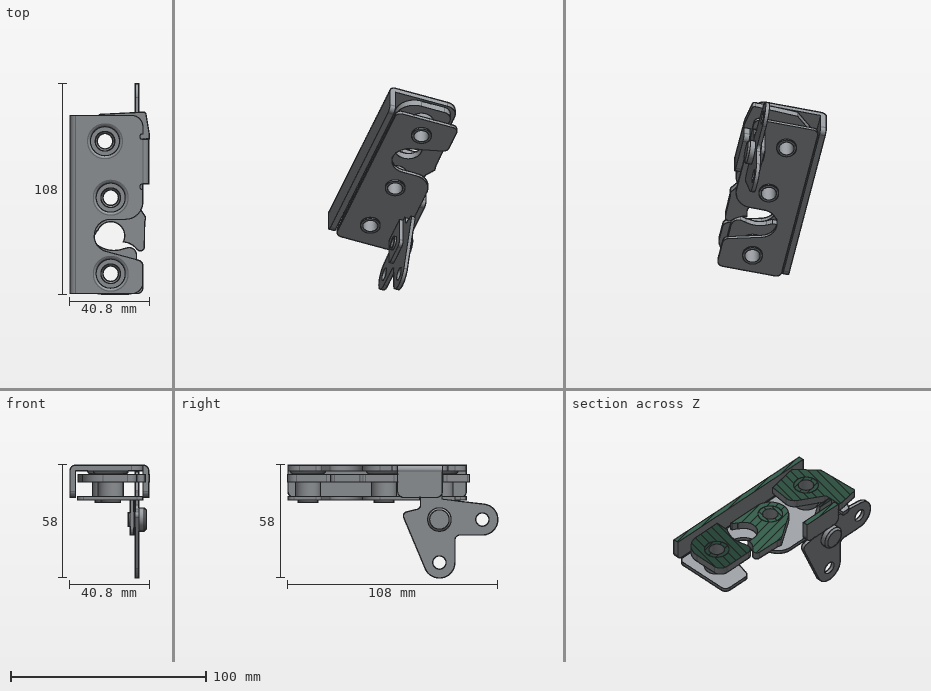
import cadquery as cq
import math


sheet = 3.0
housing_width = 40.5
housing_length = 91.5
flange_depth = 16.6
flange_corner_radius = 3.0
roof_right = housing_width - sheet
roof_corner_radius = 5.9
right_flange_front = 56.3
right_flange_rear = 79.2
relief_width = 2.8
relief_depth = 1.6

jaw_pivot_x = 21.0
lower_pivot = (jaw_pivot_x, 10.3)
upper_pivot = (jaw_pivot_x, 49.3)
pawl_pivot = (18.0, 78.2)
pivots = [lower_pivot, upper_pivot, pawl_pivot]

dimple_radius = 9.0
dimple_depth = 1.5
floor_radius = dimple_radius - dimple_depth

slot_center = (jaw_pivot_x, (lower_pivot[1] + upper_pivot[1]) / 2)
slot_radius = 8.4
slot_flare = 15.0
slot_upper_corner_radius = 9.0
slot_lower_corner_radius = 3.0

jaw_thickness = 4.0
jaw_top = -4.8
jaw_bottom = jaw_top - jaw_thickness
jaw_front = -0.3

plate_thickness = 1.9
plate_left = 3.9
plate_top = -16.1
plate_bottom = plate_top - plate_thickness
plate_corner_radius = 3.0
tab_left = 30.9
tab_right = tab_left + plate_thickness
tab_corner_radius = 2.7
notch_front = 67.5

bushing_radius = 6.5
bushing_end_radius = 5.1
bushing_bore_radius = 3.9
bushing_bottom = -19.1
bushing_top = 0.0
bushing_body_top = -sheet - dimple_depth
bushing_rim_radius = 5.0
countersink_depth = 1.8

lever_left = 33.5
lever_right = lever_left + plate_thickness
lever_pivot = (77.7, -28.0)
eye_spacing = 22.0
eye_radius = 8.0
eye_hole_radius = 3.3
rear_eye = (lever_pivot[0] + eye_spacing, lever_pivot[1])
lower_eye = (lever_pivot[0], lever_pivot[1] - eye_spacing)
arm_front = 68.0
arm_rear = 79.1
arm_top = -3.5

rivet_end_radius = 3.6
rivet_shoulder_radius = 4.1
rivet_head_radius = 6.0
rivet_left = 29.9
rivet_right = 39.2
rivet_chamfer = 1.1
rivet_dimple_radius = 2.6
rivet_dimple_depth = 1.5


def rounded_outline(workplane, corners):
    """Closed outline through corners (a, b, radius), each rounded by a tangent arc of its radius."""
    count = len(corners)
    for i, (a, b, radius) in enumerate(corners):
        previous_corner = corners[i - 1]
        next_corner = corners[(i + 1) % count]
        to_previous = cq.Vector(previous_corner[0] - a, previous_corner[1] - b).normalized()
        to_next = cq.Vector(next_corner[0] - a, next_corner[1] - b).normalized()
        half_angle = to_previous.getAngle(to_next) / 2
        corner = cq.Vector(a, b)
        setback = radius / math.tan(half_angle)
        start = corner + to_previous * setback
        end = corner + to_next * setback
        reach = radius / math.sin(half_angle) - radius
        middle = corner + (to_previous + to_next).normalized() * reach
        if i == 0:
            workplane = workplane.moveTo(start.x, start.y)
        else:
            workplane = workplane.lineTo(start.x, start.y)
        if radius > 0:
            workplane = workplane.threePointArc((middle.x, middle.y), (end.x, end.y))
    return workplane.close()


def tangent_point(point, center, radius, turn):
    """Where a line from `point` touches a circle; `turn` (1 or -1) picks one of the two sides."""
    across = point[0] - center[0]
    up = point[1] - center[1]
    angle = math.atan2(up, across) + turn * math.acos(radius / math.hypot(across, up))
    return (center[0] + radius * math.cos(angle), center[1] + radius * math.sin(angle))


def upright_cylinder(center, radius, bottom, top):
    return cq.Workplane("XY", origin=(*center, bottom)).circle(radius).extrude(top - bottom)


def cross_cylinder(center, radius, left, right):
    """Cylinder along X at a (Y, Z) center."""
    return cq.Workplane("YZ", origin=(left, *center)).circle(radius).extrude(right - left)


def slotted_outline(left, corner_radius, left_corner_radius):
    """Corners of a sheet from `left` to the roof's right edge, with the striker slot cut in."""
    half_flare = math.radians(slot_flare / 2)
    apex_distance = slot_radius / math.sin(half_flare)
    apex_x = slot_center[0] - apex_distance * math.cos(half_flare)
    apex_y = slot_center[1] + apex_distance * math.sin(half_flare)
    lower_mouth = apex_y - (roof_right - apex_x) * math.tan(2 * half_flare)
    return [
        (left, 0, left_corner_radius),
        (roof_right, 0, corner_radius),
        (roof_right, lower_mouth, slot_lower_corner_radius),
        (apex_x, apex_y, slot_radius),
        (roof_right, apex_y, slot_upper_corner_radius),
        (roof_right, housing_length, corner_radius),
        (left, housing_length, left_corner_radius),
    ]


def make_flange(left, front, rear):
    flange = cq.Workplane("XY").box(sheet, rear - front, flange_depth, centered=False)
    flange = flange.translate((left, front, -flange_depth))
    return flange.faces("<Z").edges("|X").fillet(flange_corner_radius)


def dimple_recess(pivot):
    """Hollow of a dimple: a rounded lip falling to a flat floor."""
    lip = dimple_depth * math.sqrt(0.5)
    profile = (
        cq.Workplane("XZ", origin=(*pivot, 0))
        .lineTo(dimple_radius, 0)
        .threePointArc((dimple_radius - lip, lip - dimple_depth), (floor_radius, -dimple_depth))
        .lineTo(0, -dimple_depth)
        .close()
    )
    return profile.revolve(360, (0, 0), (0, 1))


def dimple_boss(pivot):
    """Underside of a dimple: a disc below the roof with a rounded lower edge."""
    bulge = dimple_depth * math.sqrt(0.5)
    profile = (
        cq.Workplane("XZ", origin=(*pivot, -sheet))
        .lineTo(dimple_radius, 0)
        .threePointArc((floor_radius + bulge, -bulge), (floor_radius, -dimple_depth))
        .lineTo(0, -dimple_depth)
        .close()
    )
    return profile.revolve(360, (0, 0), (0, 1))


def relief_notch(center_y):
    """Round-ended notch in the roof's right edge beside an end of the right flange."""
    radius = relief_width / 2
    end_x = roof_right - relief_depth + radius
    notch = upright_cylinder((end_x, center_y), radius, -sheet, 0)
    mouth = cq.Workplane("XY").box(sheet, relief_width, sheet).translate(
        (end_x + sheet / 2, center_y, -sheet / 2)
    )
    return notch.union(mouth)


def make_housing():
    roof_corners = slotted_outline(0, roof_corner_radius, 0)
    housing = rounded_outline(cq.Workplane("XY", origin=(0, 0, -sheet)), roof_corners).extrude(sheet)
    housing = housing.union(make_flange(0, 0, housing_length))
    housing = housing.union(make_flange(roof_right, right_flange_front, right_flange_rear))
    housing = housing.edges("<X and >Z").fillet(sheet)
    housing = housing.edges(">X and >Z").fillet(sheet)
    housing = housing.cut(relief_notch(right_flange_front - relief_width / 2))
    housing = housing.cut(relief_notch(right_flange_rear + relief_width / 2))
    for pivot in pivots:
        housing = housing.union(dimple_boss(pivot))
        housing = housing.cut(dimple_recess(pivot))
        housing = housing.cut(upright_cylinder(pivot, bushing_end_radius, bushing_body_top, 0))
    return housing


def make_base_plate():
    plate_corners = slotted_outline(plate_left, plate_corner_radius, plate_corner_radius)
    plate = rounded_outline(cq.Workplane("XY", origin=(0, 0, plate_bottom)), plate_corners)
    plate = plate.extrude(plate_thickness)
    tab_front = lever_pivot[0] - eye_radius
    tab_rear = lever_pivot[0] + eye_radius
    tab_bottom = lever_pivot[1] - eye_radius
    notch = (
        cq.Workplane("XY", origin=(0, 0, plate_bottom))
        .moveTo(tab_right, notch_front)
        .lineTo(roof_right, notch_front)
        .lineTo(roof_right, tab_rear)
        .lineTo(tab_right, tab_rear)
        .close()
        .extrude(plate_thickness)
    )
    tab_corners = [
        (tab_front, plate_top, 0),
        (tab_front, tab_bottom, tab_corner_radius),
        (tab_rear, tab_bottom, tab_corner_radius),
        (tab_rear, plate_top, 0),
    ]
    tab = rounded_outline(cq.Workplane("YZ", origin=(tab_left, 0, 0)), tab_corners)
    plate = plate.cut(notch).union(tab.extrude(plate_thickness))
    for pivot in pivots:
        plate = plate.cut(upright_cylinder(pivot, bushing_end_radius, plate_bottom, plate_top))
    return plate.cut(cross_cylinder(lever_pivot, rivet_end_radius, tab_left, tab_right))


def make_bushing(pivot):
    bushing = upright_cylinder(pivot, bushing_end_radius, bushing_bottom, bushing_top)
    bushing = bushing.union(upright_cylinder(pivot, bushing_radius, plate_top, bushing_body_top))
    bushing = bushing.cut(upright_cylinder(pivot, bushing_bore_radius, bushing_bottom, bushing_top))
    countersink = cq.Solid.makeCone(
        bushing_bore_radius,
        bushing_rim_radius,
        countersink_depth,
        pnt=cq.Vector(*pivot, bushing_top - countersink_depth),
    )
    return bushing.cut(cq.Workplane(countersink))


def make_lower_jaw():
    left = 6.6
    right = 34.3
    left_radius = 10.4
    heel_radius = 4.6
    tip_radius = 4.0
    tip_top = 23.8
    left_top = 25.1
    jaw = (
        cq.Workplane("XY", origin=(0, 0, jaw_bottom))
        .moveTo(left + left_radius, jaw_front)
        .lineTo(right - heel_radius, jaw_front)
        .radiusArc((right, jaw_front + heel_radius), -heel_radius)
        .lineTo(right, tip_top - tip_radius)
        .radiusArc((right - tip_radius, tip_top), -tip_radius)
        .lineTo(27.2, 23.0)
        .threePointArc((22.6, 22.3), (16.4, 23.7))
        .lineTo(13.8, left_top)
        .lineTo(left, left_top)
        .lineTo(left, jaw_front + left_radius)
        .radiusArc((left + left_radius, jaw_front), -left_radius)
        .close()
        .extrude(jaw_thickness)
    )
    return jaw.cut(upright_cylinder(lower_pivot, bushing_radius, jaw_bottom, jaw_top))


def make_upper_jaw():
    hub_radius = 9.5
    hub_left = upper_pivot[0] - hub_radius
    mouth_radius = 7.1
    lip_tip = 12.5
    lip_bottom = 29.7
    shoulder = (39.0, 39.1)
    hub_touch = tangent_point(shoulder, upper_pivot, hub_radius, 1)
    jaw_corners = [
        (hub_left, upper_pivot[1], 0),
        (*hub_touch, 0),
        (*shoulder, 1.6),
        (38.5, 36.7, 1.6),
        (38.1, 18.8, 2.0),
        (31.3, 26.3, 9.7),
        (27.0, 26.6, 0),
        (*slot_center, 0),
        (14.0, 32.4, 0),
        (lip_tip, lip_bottom, 0),
        (hub_left, lip_bottom, 0),
    ]
    jaw = rounded_outline(cq.Workplane("XY", origin=(0, 0, jaw_bottom)), jaw_corners)
    jaw = jaw.extrude(jaw_thickness)
    jaw = jaw.union(upright_cylinder(upper_pivot, hub_radius, jaw_bottom, jaw_top))
    jaw = jaw.cut(upright_cylinder(slot_center, mouth_radius, jaw_bottom, jaw_top))
    return jaw.cut(upright_cylinder(upper_pivot, bushing_radius, jaw_bottom, jaw_top))


def make_pawl():
    pawl_front = 79.4
    pawl_right = 40.8
    pawl_corners = [
        (15.2, 92.1, 0.5),
        (4.1, 82.1, 0),
        (7.1, 64.8, 0),
        (21.6, 63.2, 5.4),
        (31.3, pawl_front, 1.1),
        (pawl_right, pawl_front, 0),
        (pawl_right, 81.6, 0),
        (38.9, 93.3, 1.3),
    ]
    pawl = rounded_outline(cq.Workplane("XY", origin=(0, 0, jaw_bottom)), pawl_corners)
    pawl = pawl.extrude(jaw_thickness)
    return pawl.cut(upright_cylinder(pawl_pivot, bushing_radius, jaw_bottom, jaw_top))


def make_lever():
    top_slope = math.radians(6.7)
    nose = (58.4, -24.6)
    top_touch = (
        rear_eye[0] + eye_radius * math.sin(top_slope),
        rear_eye[1] + eye_radius * math.cos(top_slope),
    )
    top_at_arm = top_touch[1] + (top_touch[0] - arm_rear) * math.tan(top_slope)
    inner_y = lower_eye[0] + eye_radius
    inner_corner_radius = 2.5
    rear_underside = rear_eye[1] - eye_radius
    lever_corners = [
        (*top_touch, 0),
        (rear_eye[0], rear_underside, 0),
        (inner_y, rear_underside, inner_corner_radius),
        (inner_y, lower_eye[1], 0),
        (*tangent_point(nose, lower_eye, eye_radius, 1), 0),
        (*nose, 2.2),
        (arm_front, -22.3, 2.2),
        (arm_front, -13.5, 2.7),
        (71.5, arm_top, 2.7),
        (arm_rear, arm_top, 1.1),
        (arm_rear, top_at_arm, 0),
    ]
    lever = rounded_outline(cq.Workplane("YZ", origin=(lever_left, 0, 0)), lever_corners)
    lever = lever.extrude(plate_thickness)
    for eye in (rear_eye, lower_eye):
        lever = lever.union(cross_cylinder(eye, eye_radius, lever_left, lever_right))
        lever = lever.cut(cross_cylinder(eye, eye_hole_radius, lever_left, lever_right))
    return lever.cut(cross_cylinder(lever_pivot, rivet_shoulder_radius, lever_left, lever_right))


def make_rivet():
    end = cross_cylinder(lever_pivot, rivet_end_radius, rivet_left, lever_right)
    shoulder = cross_cylinder(lever_pivot, rivet_shoulder_radius, tab_right, lever_right)
    head = cross_cylinder(lever_pivot, rivet_head_radius, lever_right, rivet_right)
    head = head.faces(">X").edges().chamfer(rivet_chamfer)
    dimple = cq.Solid.makeCone(
        rivet_dimple_radius,
        0,
        rivet_dimple_depth,
        pnt=cq.Vector(rivet_left, *lever_pivot),
        dir=cq.Vector(1, 0, 0),
    )
    return end.union(shoulder).union(head).cut(cq.Workplane(dimple))


housing = make_housing()
base_plate = make_base_plate()
bushings = [make_bushing(pivot) for pivot in pivots]
lower_jaw = make_lower_jaw()
upper_jaw = make_upper_jaw()
pawl = make_pawl()
lever = make_lever()
rivet = make_rivet()

result = cq.Compound.makeCompound(
    [
        housing.val(),
        base_plate.val(),
        *[bushing.val() for bushing in bushings],
        lower_jaw.val(),
        upper_jaw.val(),
        pawl.val(),
        lever.val(),
        rivet.val(),
    ]
)